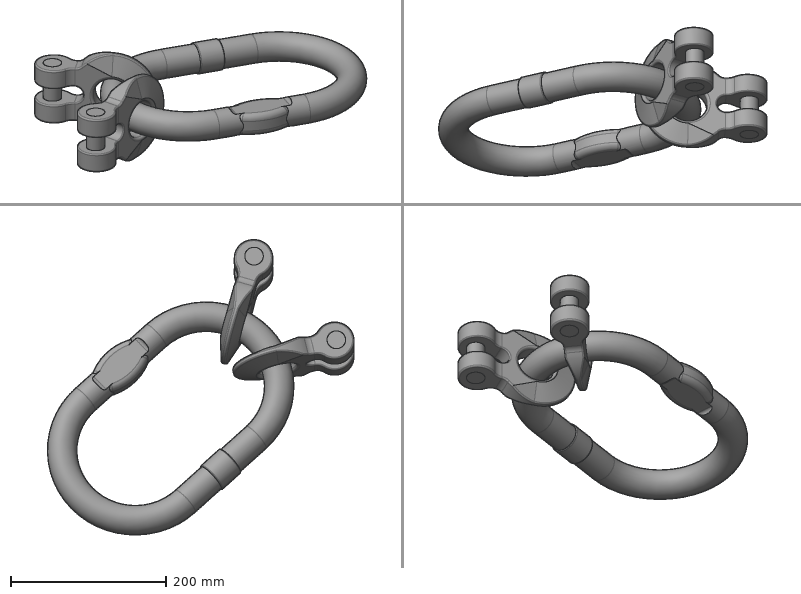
import cadquery as cq
import math


BAR_DIA = 38.0
LINK_INNER_WIDTH = 150.0
LINK_STRAIGHT = 125.2
BAR_RADIUS = BAR_DIA / 2
BEND_RADIUS = (LINK_INNER_WIDTH + BAR_DIA) / 2

COLLAR_DIA = 41.0
COLLAR_LENGTH = 33.5
COLLAR_EDGE = 1.3

TAG_THICKNESS = 30.0
TAG_WIDTH = 50.3
TAG_END_WIDTH = 37.0
TAG_BULGE_LENGTH = 62.0
TAG_TAPER_LENGTH = 5.0
TAG_TIP_WIDTH = 30.0
TAG_SIDE_FILLET = 8.5
TAG_FLAT_LENGTH = 73.7
TAG_RUNOUT_RADIUS = 5.0

CLEVIS_ANGLE = 30.0
LUG_X = 76.2
LUG_Y = -218.0
PIN_DIA = 24.0
PIN_OFFSET = 2.0
LUG_DIA = 50.0
CLEVIS_HEIGHT = 75.0
SLOT_WIDTH = 24.0
SLOT_DEPTH = 40.0
OUTLINE_FILLET = 2.0
SLOT_FILLET = 1.5
LUG_RADIUS = LUG_DIA / 2

PLATE_THICKNESS = 25.0
EYE_CENTER = 77.5
EYE_OUTER_DIA = 114.0
EYE_HOLE_DIA = 50.0
EYE_HOLE_FILLET = 3.8
EYE_RADIUS = EYE_OUTER_DIA / 2

THROAT_RADIUS = 12.0
THROAT_CENTER_Z = CLEVIS_HEIGHT / 2 + THROAT_RADIUS
NECK_START = EYE_CENTER - math.sqrt((EYE_RADIUS + THROAT_RADIUS) ** 2 - THROAT_CENTER_Z**2)

TAPER_START_RADIUS = 29.5
RIM_THICKNESS = 6.3
TAPER_CORNER_Y = 47.0
TAPER_CORNER_Z = 44.5
TAPER_OVERRUN = 1.2
CUT_MARGIN = 8.5


def link_bar():
    """Round bar swept around the oblong centre line."""
    half = LINK_STRAIGHT / 2
    path = (
        cq.Workplane("XY")
        .moveTo(BEND_RADIUS, -half)
        .lineTo(BEND_RADIUS, half)
        .threePointArc((0, half + BEND_RADIUS), (-BEND_RADIUS, half))
        .lineTo(-BEND_RADIUS, -half)
        .threePointArc((0, -half - BEND_RADIUS), (BEND_RADIUS, -half))
        .close()
    )
    profile = cq.Workplane("XZ", origin=(BEND_RADIUS, -half, 0)).circle(BAR_RADIUS)
    return profile.sweep(path)


def weld_collar():
    """Slightly thicker ring around the -X leg."""
    return (
        cq.Workplane("XZ", origin=(-BEND_RADIUS, COLLAR_LENGTH / 2, 0))
        .circle(COLLAR_DIA / 2)
        .extrude(COLLAR_LENGTH)
        .edges("%CIRCLE")
        .fillet(COLLAR_EDGE)
    )


def tag_flat_cutter(side):
    """Block that flattens the bar at the tag, on top (side = 1) or below (side = -1)."""
    length = TAG_FLAT_LENGTH + 2 * TAG_RUNOUT_RADIUS
    cutter = (
        cq.Workplane("XY", origin=(BEND_RADIUS, 0, TAG_THICKNESS / 2))
        .rect(BAR_DIA, length)
        .extrude(BAR_RADIUS)
        .edges("<Z and |X")
        .fillet(TAG_RUNOUT_RADIUS)
    )
    return cutter if side > 0 else cutter.mirror("XY")


def tag_bulge():
    """Wide body of the tag with bowed, rounded sides."""
    half_width = TAG_WIDTH / 2
    half_end = TAG_END_WIDTH / 2
    half_tip = TAG_TIP_WIDTH / 2
    half_length = TAG_BULGE_LENGTH / 2
    tip_y = half_length + TAG_TAPER_LENGTH
    return (
        cq.Workplane("XY", origin=(BEND_RADIUS, 0, -TAG_THICKNESS / 2))
        .moveTo(half_end, -half_length)
        .threePointArc((half_width, 0), (half_end, half_length))
        .lineTo(half_tip, tip_y)
        .lineTo(-half_tip, tip_y)
        .lineTo(-half_end, half_length)
        .threePointArc((-half_width, 0), (-half_end, -half_length))
        .lineTo(-half_tip, -tip_y)
        .lineTo(half_tip, -tip_y)
        .close()
        .extrude(TAG_THICKNESS)
        .edges("not (|X or |Z)")
        .fillet(TAG_SIDE_FILLET)
    )


def make_link():
    """One-piece link with its tag and weld collar."""
    link = link_bar()
    for side in (1, -1):
        link = link.cut(tag_flat_cutter(side))
    return link.union(tag_bulge()).union(weld_collar())


def lug_block():
    """Round lugs that run into the plate width through concave arcs."""
    half = PLATE_THICKNESS / 2
    blend_radius = (NECK_START**2 + half**2 - LUG_RADIUS**2) / (2 * (LUG_RADIUS - half))
    center_x = half + blend_radius
    reach = LUG_RADIUS / (LUG_RADIUS + blend_radius)
    touch_x = center_x * reach
    touch_y = NECK_START * reach
    middle_angle = (math.pi + math.atan2(NECK_START, center_x) + math.pi) / 2
    middle_x = center_x + blend_radius * math.cos(middle_angle)
    middle_y = NECK_START + blend_radius * math.sin(middle_angle)
    return (
        cq.Workplane("XY", origin=(0, 0, -CLEVIS_HEIGHT / 2))
        .moveTo(half, NECK_START)
        .threePointArc((middle_x, middle_y), (touch_x, touch_y))
        .threePointArc((0, -LUG_RADIUS), (-touch_x, touch_y))
        .threePointArc((-middle_x, middle_y), (-half, NECK_START))
        .close()
        .extrude(CLEVIS_HEIGHT)
    )


def eye_plate():
    """Flat plate with throat arcs, a round rim and a rounded eye hole."""
    half_height = CLEVIS_HEIGHT / 2
    turn = math.asin((EYE_CENTER - NECK_START) / (EYE_RADIUS + THROAT_RADIUS))
    throat_end_y = NECK_START + THROAT_RADIUS * math.sin(turn)
    throat_end_z = THROAT_CENTER_Z - THROAT_RADIUS * math.cos(turn)
    throat_mid_y = NECK_START + THROAT_RADIUS * math.sin(turn / 2)
    throat_mid_z = THROAT_CENTER_Z - THROAT_RADIUS * math.cos(turn / 2)
    plate = (
        cq.Workplane("YZ", origin=(-PLATE_THICKNESS / 2, 0, 0))
        .moveTo(NECK_START, half_height)
        .threePointArc((throat_mid_y, throat_mid_z), (throat_end_y, throat_end_z))
        .threePointArc((EYE_CENTER + EYE_RADIUS, 0), (throat_end_y, -throat_end_z))
        .threePointArc((throat_mid_y, -throat_mid_z), (NECK_START, -half_height))
        .close()
        .extrude(PLATE_THICKNESS)
    )
    hole = (
        cq.Workplane("YZ", origin=(-PLATE_THICKNESS / 2, EYE_CENTER, 0))
        .circle(EYE_HOLE_DIA / 2)
        .extrude(PLATE_THICKNESS)
    )
    hole_edges = cq.selectors.RadiusNthSelector(1)
    return plate.cut(hole).edges(hole_edges).fillet(EYE_HOLE_FILLET)


def taper_section():
    """Triangle, in the XZ plane through the eye centre, removed to thin the +X, +Z rim."""
    half = PLATE_THICKNESS / 2
    slope = (half - RIM_THICKNESS / 2) / (EYE_RADIUS - TAPER_START_RADIUS)
    outer = EYE_RADIUS + CUT_MARGIN
    outer_x = half - slope * (outer - TAPER_START_RADIUS)
    return (
        cq.Workplane("XZ", origin=(0, EYE_CENTER, 0))
        .moveTo(half, TAPER_START_RADIUS)
        .lineTo(outer_x, outer)
        .lineTo(half, outer)
        .close()
    )


def taper_cutters():
    """Cone around the far half of the eye and slanted facets towards the neck."""
    cone = taper_section().revolve(180, (0, 0), (-1, 0))
    facet_run = cq.Vector(0, TAPER_CORNER_Y - EYE_CENTER, TAPER_CORNER_Z - TAPER_START_RADIUS)
    facet = cq.Workplane(cq.Solid.extrudeLinear(taper_section().val(), [], facet_run * TAPER_OVERRUN))
    one_side = [cone, facet, facet.mirror("XY")]
    return one_side + [cutter.mirror("YZ") for cutter in one_side]


def clevis_slot():
    """Round-ended slot that splits the clevis into two lugs."""
    end_center = SLOT_DEPTH - SLOT_WIDTH / 2
    return (
        cq.Workplane("YZ", origin=(-LUG_RADIUS, 0, 0))
        .moveTo(-LUG_DIA, -SLOT_WIDTH / 2)
        .lineTo(end_center, -SLOT_WIDTH / 2)
        .threePointArc((SLOT_DEPTH, 0), (end_center, SLOT_WIDTH / 2))
        .lineTo(-LUG_DIA, SLOT_WIDTH / 2)
        .close()
        .extrude(LUG_DIA)
    )


def make_pin():
    """Plain pin, flush with the outer faces of both lugs."""
    return (
        cq.Workplane("XY", origin=(0, -PIN_OFFSET, -CLEVIS_HEIGHT / 2))
        .circle(PIN_DIA / 2)
        .extrude(CLEVIS_HEIGHT)
    )


def is_outline(edge):
    """True for edges clear of the eye hole and the taper, such as the rim and lug edges."""
    clearance = (TAPER_START_RADIUS + EYE_RADIUS) / 2
    point = edge.startPoint()
    return math.hypot(point.y - EYE_CENTER, point.z) > clearance


def make_clevis():
    """Forked coupling with its eye, slot and pin hole, in its own frame."""
    plate = eye_plate()
    for cutter in taper_cutters():
        plate = plate.cut(cutter)
    clevis = lug_block().union(plate)
    clevis = clevis.edges("not %LINE").filter(is_outline).fillet(OUTLINE_FILLET)
    slot_zone = cq.selectors.BoxSelector(
        (-LUG_RADIUS, -LUG_DIA, -SLOT_WIDTH), (LUG_RADIUS, SLOT_DEPTH + SLOT_FILLET, SLOT_WIDTH)
    )
    clevis = clevis.cut(clevis_slot())
    clevis = clevis.edges(slot_zone).edges("not %LINE").fillet(SLOT_FILLET)
    return clevis.cut(make_pin())


def place(body, side):
    """Move a body from the clevis frame to the -X (side = -1) or +X (side = 1) coupling."""
    return body.rotate((0, 0, 0), (0, 0, 1), side * CLEVIS_ANGLE).translate((side * LUG_X, LUG_Y, 0))


link = make_link()
clevises = [place(make_clevis(), side) for side in (-1, 1)]
pins = [place(make_pin(), side) for side in (-1, 1)]

result = cq.Compound.makeCompound([link.val(), *[c.val() for c in clevises], *[p.val() for p in pins]])